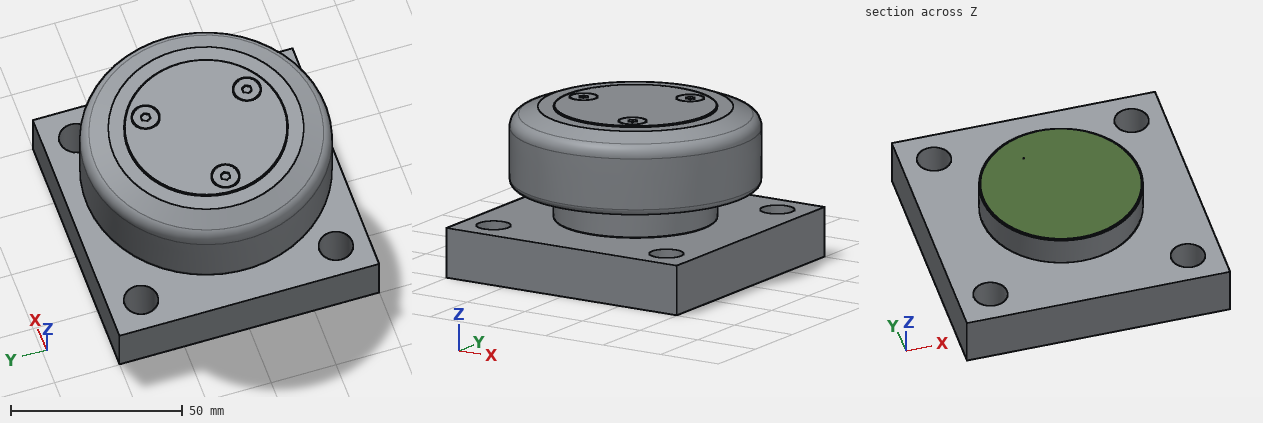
import cadquery as cq
import math

base_side = 80.0
base_height = 15.0
mount_hole_diameter = 10.1
mount_hole_spacing = 60.0

total_height = 49.0
pin_radius = 24.0
pin_edge = 0.3
neck_top = 24.2
neck_relief = 0.4

roller_bottom = 25.1
roller_top = 48.6
roller_radius = 36.9
roller_crown = 0.1
bottom_rim_radius = 2.0
top_rim_radius = 4.2
shoulder_radius = 28.6
shoulder_angle = math.radians(22.2)
rim_start_height = 42.5

screw_count = 3
screw_circle_radius = 18.0
screw_recess_diameter = 8.3
screw_head_diameter = 7.8
screw_gap_depth = 0.5
screw_socket_width = 2.6
screw_socket_depth = 0.6


def make_base():
    plate = cq.Workplane("XY").box(base_side, base_side, base_height, centered=(True, True, False))
    return (
        plate.faces(">Z").workplane()
        .rect(mount_hole_spacing, mount_hole_spacing, forConstruction=True)
        .vertices().hole(mount_hole_diameter)
    )


def make_pin():
    """Turned pin with a small relief at each end of the neck and a bevelled cap."""
    relief_radius = pin_radius - neck_relief
    return (
        cq.Workplane("XZ")
        .moveTo(0, base_height)
        .lineTo(pin_radius - pin_edge, base_height)
        .lineTo(pin_radius, base_height + pin_edge)
        .lineTo(pin_radius, neck_top)
        .lineTo(relief_radius, neck_top)
        .lineTo(relief_radius, roller_bottom)
        .lineTo(pin_radius, roller_bottom)
        .lineTo(pin_radius, total_height - pin_edge)
        .lineTo(pin_radius - pin_edge, total_height)
        .lineTo(0, total_height)
        .close().revolve()
    )


def make_roller():
    """Turned body whose top rim arc runs tangentially into the conical shoulder."""
    rim_center = roller_radius - top_rim_radius

    def rim_point(angle):
        return (
            rim_center + top_rim_radius * math.cos(angle),
            rim_start_height + top_rim_radius * math.sin(angle),
        )

    rim_end_angle = math.pi / 2 - shoulder_angle
    bottom_center = roller_radius - bottom_rim_radius
    bottom_rim_top = roller_bottom + bottom_rim_radius
    crown_height = (bottom_rim_top + rim_start_height) / 2
    return (
        cq.Workplane("XZ")
        .moveTo(0, roller_bottom)
        .lineTo(bottom_center, roller_bottom)
        .radiusArc((roller_radius, bottom_rim_top), -bottom_rim_radius)
        .threePointArc((roller_radius + roller_crown, crown_height), (roller_radius, rim_start_height))
        .threePointArc(rim_point(rim_end_angle / 2), rim_point(rim_end_angle))
        .lineTo(shoulder_radius, roller_top)
        .lineTo(0, roller_top)
        .close().revolve()
    )


def make_screw_cuts():
    """Gaps around the screw heads and hexagonal sockets, the first one on the -X side."""
    places = cq.Workplane("XY", origin=(0, 0, total_height)).polarArray(
        screw_circle_radius, 180, 360, screw_count
    )
    recesses = places.circle(screw_recess_diameter / 2).extrude(-screw_gap_depth)
    heads = places.circle(screw_head_diameter / 2).extrude(-screw_gap_depth)
    socket_corner_diameter = screw_socket_width / math.cos(math.pi / 6)
    sockets = places.polygon(6, socket_corner_diameter).extrude(-screw_socket_depth)
    return recesses.cut(heads).union(sockets)


result = make_base().union(make_pin()).union(make_roller()).cut(make_screw_cuts())